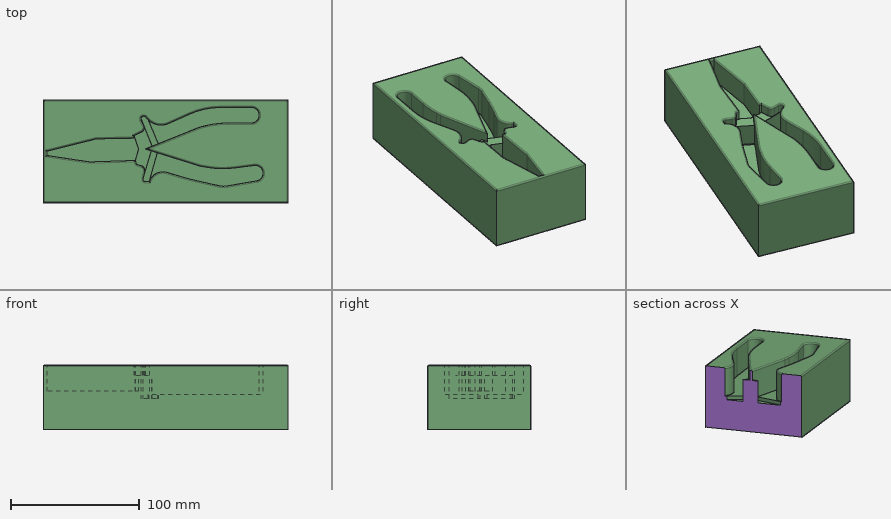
import cadquery as cq
import math

LENGTH = 190
WIDTH = 80.0
HEIGHT = 50.0
TOP_EDGE_RADIUS = 1.0

JOINT_DEPTH = 8.0
HANDLE_DEPTH = 22.8
GUARD_DEPTH = 25.6
JAW_DEPTH = 20.0

UPPER_JAW_ROOT = (-24.0, 10.3)
LOWER_JAW_ROOT = (-23.5, -7.0)
JAW_STEP_APEX = (-21.0, 1.9)

JAW_TIP_X = -92.2
HANDLE_END_RADIUS = 6.0

CORNER = "corner"
BULB = "bulb"
OUTLINE = [
    (CORNER, (JAW_TIP_X, -3.2), 0),
    (CORNER, (JAW_TIP_X, 0.2), 0),
    (CORNER, (-54.0, 9.7), 0),
    (CORNER, UPPER_JAW_ROOT, 0),
    (CORNER, (-24.7, 12.2), 0),
    (CORNER, (-15.5, 16.7), 3.6),
    (BULB, (-17.1, 25.0), 2.3),
    (CORNER, (-7.2, 17.5), 14.0),
    (CORNER, (29.8, 34.0), 57),
    (BULB, (66.5, 28.1), HANDLE_END_RADIUS),
    (CORNER, (39.9, 22.0), 76),
    (CORNER, (27.0, 19.0), 0),
    (CORNER, (-15.8, 1.9), 0),
    (CORNER, (26.6, -11.4), 0),
    (CORNER, (42.8, -14.2), 68.4),
    (BULB, (69.5, -17.0), HANDLE_END_RADIUS),
    (CORNER, (44.5, -27.4), 15.2),
    (CORNER, (16.5, -21.0), 190),
    (CORNER, (-8.4, -13.5), 11.0),
    (CORNER, (-12.7, -23.4), 0),
    (CORNER, (-18.0, -23.4), 1.7),
    (CORNER, (-16.3, -16.2), 0),
    (CORNER, (-16.3, -13.3), 0),
    (CORNER, (-17.9, -11.5), 0),
    (CORNER, (-22.8, -10.0), 1.1),
    (CORNER, LOWER_JAW_ROOT, 0),
    (CORNER, (-59.0, -8.2), 0),
]

UPPER_GUARD_FRONT = ((-20.0, 27.4), (-10.0, 2.8))
UPPER_GUARD_BACK = ((-14.8, 27.4), (-4.8, 3.5))
LOWER_GUARD_FRONT = ((-18.5, -23.5), (-11.2, 0.5))
LOWER_GUARD_BACK = ((-13.0, -23.5), (-6.3, 0))


def tangent_point(point, center, radius, side):
    """Where a line from a point touches a circle; side is -1 on entering the arc, 1 on leaving."""
    offset = point - center
    angle = math.atan2(offset.y, offset.x) + side * math.acos(radius / offset.Length)
    return center + cq.Vector(math.cos(angle), math.sin(angle)) * radius


def neighbour_target(point, neighbour, side):
    """Point that the straight side from a corner toward its neighbour runs to."""
    kind, place, radius = neighbour
    place = cq.Vector(*place)
    if kind == BULB:
        return tangent_point(point, place, radius, side)
    return place


def node_arc(before, node, after):
    """Start, middle and end of the arc at an outline node."""
    kind, place, radius = node
    place = cq.Vector(*place)
    if kind == BULB:
        start = tangent_point(cq.Vector(*before[1]), place, radius, -1)
        end = tangent_point(cq.Vector(*after[1]), place, radius, 1)
        outward = cq.Vector(start.y - end.y, end.x - start.x).normalized()
        return start, place + outward * radius, end
    back = (neighbour_target(place, before, 1) - place).normalized()
    ahead = (neighbour_target(place, after, -1) - place).normalized()
    half_angle = back.getAngle(ahead) / 2
    reach = radius / math.tan(half_angle)
    bisector = (back + ahead).normalized()
    middle = place + bisector * (radius / math.sin(half_angle) - radius)
    return place + back * reach, middle, place + ahead * reach


def pocket(depth):
    """Plier-shaped prism sunk from the top face."""
    first_corner = OUTLINE[0][1]
    path = cq.Workplane("XY", origin=(0, 0, HEIGHT)).moveTo(*first_corner)
    following = OUTLINE[2:] + OUTLINE[:1]
    for before, node, after in zip(OUTLINE, OUTLINE[1:], following):
        start, middle, end = node_arc(before, node, after)
        radius = node[2]
        path = path.lineTo(start.x, start.y)
        if radius > 0:
            path = path.threePointArc((middle.x, middle.y), (end.x, end.y))
    return path.close().extrude(-depth)


def floor_cut(zone, depth):
    """Part of the pocket inside a plan polygon, sunk to its own depth."""
    return pocket(depth).intersect(cq.Workplane("XY").polyline(zone).close().extrude(HEIGHT))


def strip(front, back):
    """Plan polygon between two step lines."""
    return [*front, *reversed(back)]


half_width = WIDTH / 2
half_length = LENGTH / 2

jaw_zone = [
    UPPER_JAW_ROOT,
    JAW_STEP_APEX,
    LOWER_JAW_ROOT,
    (LOWER_JAW_ROOT[0], -half_width),
    (-half_length, -half_width),
    (-half_length, UPPER_JAW_ROOT[1]),
]

handle_zone = [
    *UPPER_GUARD_FRONT,
    *reversed(LOWER_GUARD_FRONT),
    (LOWER_GUARD_FRONT[0][0], -half_width),
    (half_length, -half_width),
    (half_length, half_width),
    (UPPER_GUARD_FRONT[0][0], half_width),
]

block = cq.Workplane("XY").box(LENGTH, WIDTH, HEIGHT, centered=(True, True, False))
result = block.cut(pocket(JOINT_DEPTH)).faces(">Z").edges().fillet(TOP_EDGE_RADIUS)

result = result.cut(floor_cut(jaw_zone, JAW_DEPTH))
result = result.cut(floor_cut(handle_zone, HANDLE_DEPTH))
result = result.cut(floor_cut(strip(UPPER_GUARD_FRONT, UPPER_GUARD_BACK), GUARD_DEPTH))
result = result.cut(floor_cut(strip(LOWER_GUARD_FRONT, LOWER_GUARD_BACK), GUARD_DEPTH))